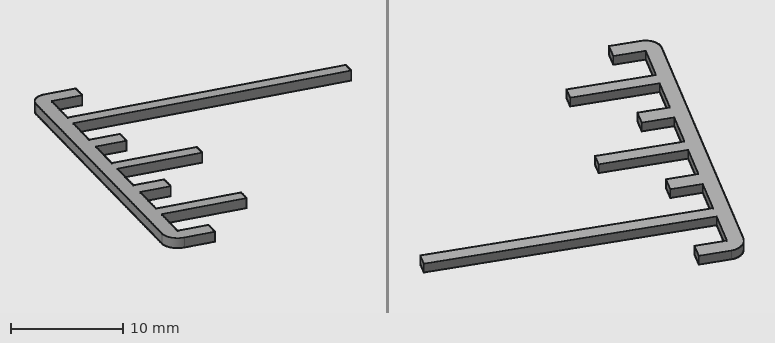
import cadquery as cq

length = 31.5
depth = 28.5
thickness = 1.0

bar_width = 1.5
corner_radius = bar_width
tab_width = bar_width
tab_top = 4.5
pin_width = 1.25
short_pin_top = 9.75
long_pin_top = depth

tab_count = 4
pitch = (length - tab_width) / (tab_count - 1)
first_tab_x = -(length - tab_width) / 2
first_pin_x = first_tab_x + pitch / 2


def upright(center_x, width, top):
    """Flat strip running in +Y from the outer edge of the bar."""
    strip = cq.Workplane("XY").box(width, top, thickness, centered=(True, False, False))
    return strip.translate((center_x, 0, 0))


body = upright(0, length, bar_width)
for index in range(tab_count):
    body = body.union(upright(first_tab_x + index * pitch, tab_width, tab_top))

for index, pin_top in enumerate((long_pin_top, short_pin_top, short_pin_top)):
    body = body.union(upright(first_pin_x + index * pitch, pin_width, pin_top))

result = body.edges("|Z").edges("<Y").edges("<X or >X").fillet(corner_radius)